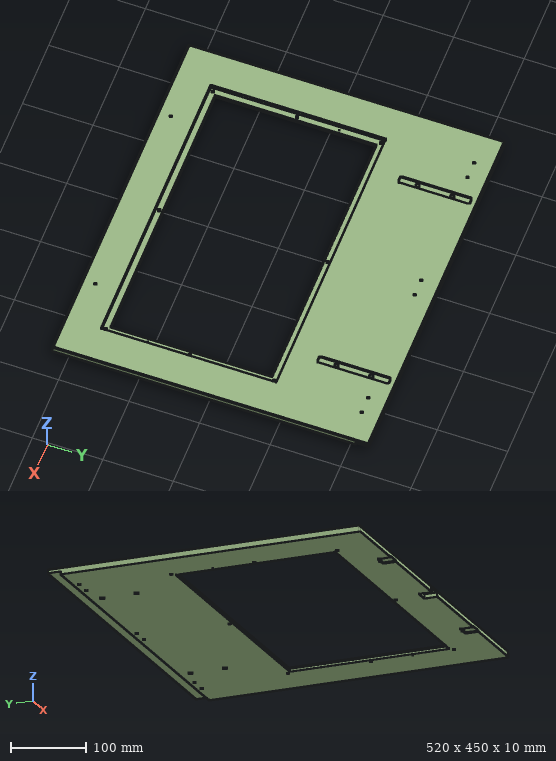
import cadquery as cq

PANEL_WIDTH = 520.0
PANEL_DEPTH = 450.0
PANEL_THICKNESS = 10.0
CORNER_RADIUS = 1.5
TOP_CHAMFER = 1.0
FRONT_SLOPE = 1.3

REAR_STEP_DEPTH = 18.5
REAR_STEP_HEIGHT = 4.0

WINDOW_WIDTH = 398.5
WINDOW_DEPTH = 229.0
WINDOW_Y = -49.5
LEDGE_WIDTH = 10.0
LEDGE_RECESS = 5.5
LEDGE_HOLE_DIAMETER = 3.0
PIN_HOLE_DIAMETER = 0.8
PIN_HOLE_SPACING = 119.5

SLOT_WIDTH = 10.5
SLOT_LENGTH = 101.5
SLOT_X = 154.5
SLOT_Y = 165.0
SLOT_RECESS = 2.5
SLOT_CORNER_RADIUS = 2.5
SCREW_HOLE_DIAMETER = 5.5
SCREW_HOLE_SPACING = 49.5

NOTCH_WIDTH = 18.5
NOTCH_DEPTH = 18.5
SIDE_NOTCH_X = 144.0
SIDE_NOTCH_HEIGHT = 1.5
CENTRE_NOTCH_HEIGHT = 6.0

BLIND_HOLE_DIAMETER = 3.0
BLIND_HOLE_TOP = 8.5
REAR_PAIR_X = 202.0
REAR_PAIR_SPACING = 25.0
REAR_PAIR_Y = 198.0
FRONT_HOLE_Y = -206.0


def block(width, depth, bottom, top, x=0.0, y=0.0):
    """Upright box centred on (x, y) between two heights."""
    return cq.Workplane("XY", origin=(x, y, bottom)).rect(width, depth).extrude(top - bottom)


def holes(diameter, places, top=PANEL_THICKNESS):
    """Upright cylinders from the underside up to the given height."""
    return cq.Workplane("XY").pushPoints(places).circle(diameter / 2).extrude(top)


def panel():
    front = -PANEL_DEPTH / 2
    rear = PANEL_DEPTH / 2
    side_profile = [
        (front, 0),
        (rear, 0),
        (rear, PANEL_THICKNESS),
        (front + FRONT_SLOPE, PANEL_THICKNESS),
    ]
    body = cq.Workplane("YZ").polyline(side_profile).close().extrude(PANEL_WIDTH / 2, both=True)
    body = body.edges("not #Z").fillet(CORNER_RADIUS)
    body = body.faces(">Z").chamfer(TOP_CHAMFER)
    step_y = (PANEL_DEPTH - REAR_STEP_DEPTH) / 2
    return body.cut(block(PANEL_WIDTH, REAR_STEP_DEPTH, 0, REAR_STEP_HEIGHT, y=step_y))


def window():
    opening = block(WINDOW_WIDTH, WINDOW_DEPTH, 0, PANEL_THICKNESS, y=WINDOW_Y)
    recess_width = WINDOW_WIDTH + 2 * LEDGE_WIDTH
    recess_depth = WINDOW_DEPTH + 2 * LEDGE_WIDTH
    ledge_top = PANEL_THICKNESS - LEDGE_RECESS
    return opening.union(block(recess_width, recess_depth, ledge_top, PANEL_THICKNESS, y=WINDOW_Y))


def ledge_holes():
    hole_x = (WINDOW_WIDTH + LEDGE_WIDTH) / 2
    hole_y = (WINDOW_DEPTH + LEDGE_WIDTH) / 2
    places = [
        (column * hole_x, WINDOW_Y + row * hole_y)
        for column in (-1, 0, 1)
        for row in (-1, 0, 1)
        if (column, row) != (0, 0)
    ]
    pins = [(side * hole_x, WINDOW_Y - side * PIN_HOLE_SPACING / 2) for side in (-1, 1)]
    return holes(LEDGE_HOLE_DIAMETER, places).union(holes(PIN_HOLE_DIAMETER, pins))


def screw_slot(x):
    floor = PANEL_THICKNESS - SLOT_RECESS
    slot = block(SLOT_WIDTH, SLOT_LENGTH, floor, PANEL_THICKNESS, x, SLOT_Y)
    slot = slot.edges("|Z").fillet(SLOT_CORNER_RADIUS)
    places = [(x, SLOT_Y + end * SCREW_HOLE_SPACING / 2) for end in (-1, 1)]
    return slot.union(holes(SCREW_HOLE_DIAMETER, places))


def front_notch(x, height):
    notch_y = (NOTCH_DEPTH - PANEL_DEPTH) / 2
    return block(NOTCH_WIDTH, NOTCH_DEPTH, 0, height, x, notch_y)


def blind_holes():
    rear_places = [
        (column * REAR_PAIR_X + side * REAR_PAIR_SPACING / 2, REAR_PAIR_Y)
        for column in (-1, 0, 1)
        for side in (-1, 1)
    ]
    front_places = [(side * SIDE_NOTCH_X, FRONT_HOLE_Y) for side in (-1, 1)]
    return holes(BLIND_HOLE_DIAMETER, rear_places + front_places, BLIND_HOLE_TOP)


result = panel().cut(window()).cut(ledge_holes())
for side in (-1, 1):
    result = result.cut(screw_slot(side * SLOT_X))
    result = result.cut(front_notch(side * SIDE_NOTCH_X, SIDE_NOTCH_HEIGHT))
result = result.cut(front_notch(0, CENTRE_NOTCH_HEIGHT)).cut(blind_holes())